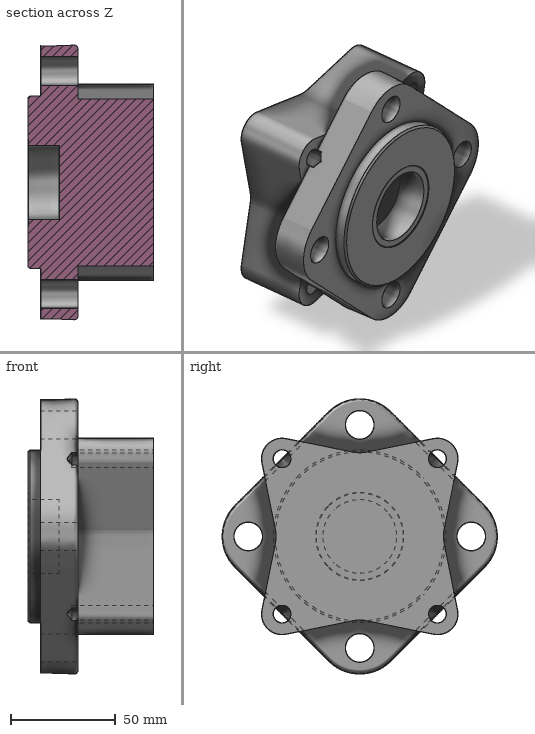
import cadquery as cq
import math

pilot_height = 6.0
flange_thickness = 18.0
total_length = 60.0
flange_back = pilot_height + flange_thickness

pilot_diameter = 82.5
pilot_chamfer = 0.9
bore_diameter = 35.2
bore_depth = 15.0
bore_mouth_diameter = 42.0
bore_mouth_depth = 0.3
bore_mouth_taper = 45

flange_half_diagonal = 65.6
flange_corner_radius = 20.9
flange_draft = 1.5
flange_edge_round = 2.0
flange_hole_diameter = 13.5
flange_hole_offset = 53.2

ear_offset = 37.0
ear_radius = 9.8
flank_angle = math.radians(11.5)
waist_radius = 15.1
ear_hole_diameter = 8.4
ear_hole_start = 21.0
drill_point_half_angle = math.radians(60)

QUARTER_TURNS = (0, 90, 180, 270)


def cylinder_x(diameter, start, length, y=0, z=0):
    """Cylinder along +X starting at X = start."""
    return cq.Workplane("YZ", origin=(start, y, z)).circle(diameter / 2).extrude(length)


def make_pilot():
    disc = cylinder_x(pilot_diameter, 0, flange_back)
    return disc.faces("<X").chamfer(pilot_chamfer)


def make_flange():
    """Square turned onto its corner, drafted toward the pilot, with a rounded back edge."""
    draft_length = flange_thickness - flange_edge_round
    corner_centre = flange_half_diagonal - flange_corner_radius
    side = math.sqrt(2) * corner_centre + 2 * flange_corner_radius

    def outline(x):
        square = cq.Sketch().rect(side, side).vertices().fillet(flange_corner_radius)
        turned_plane = cq.Workplane("YZ", origin=(x, 0, 0)).transformed(rotate=(0, 0, 45))
        return turned_plane.placeSketch(square)

    widest = flange_back - flange_edge_round
    drafted = outline(widest).extrude(-draft_length, taper=flange_draft)
    rim = outline(widest - flange_edge_round).extrude(2 * flange_edge_round)
    rim = rim.faces(">X").edges().fillet(flange_edge_round)
    front_half = outline(widest - flange_edge_round).extrude(flange_edge_round)
    return drafted.union(rim.cut(front_half))


def make_body():
    """Star-shaped block: four rounded ears joined by sloping flanks and concave waists."""
    sin_flank = math.sin(flank_angle)
    cos_flank = math.cos(flank_angle)
    ear_y = ear_offset - ear_radius * sin_flank
    ear_z = ear_offset + ear_radius * cos_flank
    ear_tip = ear_offset + ear_radius / math.sqrt(2)
    waist_y = waist_radius * sin_flank
    waist_z = ear_z - (ear_y - waist_y) * math.tan(flank_angle)
    waist_bottom = waist_z - waist_radius * (1 - cos_flank)

    def turned(y, z, degrees):
        angle = math.radians(degrees)
        return (
            y * math.cos(angle) + z * math.sin(angle),
            z * math.cos(angle) - y * math.sin(angle),
        )

    outline = cq.Workplane("YZ", origin=(flange_back, 0, 0)).moveTo(-waist_y, waist_z)
    for degrees in QUARTER_TURNS:
        outline = (
            outline.threePointArc(turned(0, waist_bottom, degrees), turned(waist_y, waist_z, degrees))
            .lineTo(*turned(ear_y, ear_z, degrees))
            .threePointArc(turned(ear_tip, ear_tip, degrees), turned(ear_z, ear_y, degrees))
            .lineTo(*turned(waist_z, waist_y, degrees))
        )
    return outline.close().extrude(total_length - flange_back)


def make_bore():
    """Blind bore with a shallow recess whose wall slopes inward."""
    bore = cylinder_x(bore_diameter, 0, bore_depth)
    mouth = cq.Workplane("YZ").circle(bore_mouth_diameter / 2).extrude(bore_mouth_depth, taper=bore_mouth_taper)
    return bore.union(mouth)


def make_ear_hole():
    """Drilled hole from the rear face, ending in a conical point inside the flange."""
    radius = ear_hole_diameter / 2
    point_length = radius / math.tan(drill_point_half_angle)
    profile = (
        cq.Workplane("XY")
        .moveTo(ear_hole_start - point_length, 0)
        .lineTo(ear_hole_start, radius)
        .lineTo(total_length, radius)
        .lineTo(total_length, 0)
        .close()
    )
    drill = profile.revolve(360, (0, 0, 0), (1, 0, 0))
    return drill.translate((0, ear_offset, ear_offset))


def make_flange_hole():
    return cylinder_x(flange_hole_diameter, 0, total_length, z=flange_hole_offset)


result = make_pilot().union(make_flange()).union(make_body()).cut(make_bore())
for turn in QUARTER_TURNS:
    for hole in (make_ear_hole(), make_flange_hole()):
        result = result.cut(hole.rotate((0, 0, 0), (1, 0, 0), turn))